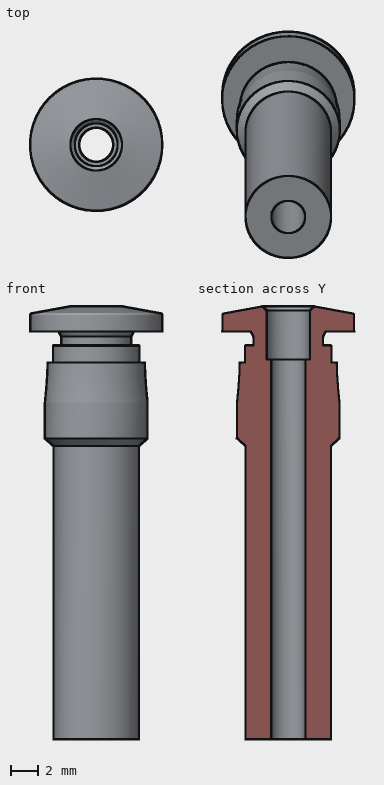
import cadquery as cq

total_height = 32.0
rim_top = 31.5
head_bottom = 30.1
collar_top = 29.12
sleeve_top = 27.85
taper_bottom = 24.85
sleeve_straight_bottom = 22.25
sleeve_bottom = 21.65

head_radius = 9.8 / 2
neck_radius = 5.2 / 2
collar_radius = 6.4 / 2
sleeve_radius = 7.6 / 2
sleeve_top_radius = 7.2 / 2
stem_radius = 6.35 / 2

rim_round = 0.2
neck_flare_width = 0.2
neck_flare_height = 0.35
collar_chamfer = 0.05
sleeve_hollow = 0.03

bore_radius = 2.5 / 2
counterbore_radius = 3.17 / 2
counterbore_depth = 3.95
mouth_chamfer = 0.32

counterbore_floor = total_height - counterbore_depth
mouth_radius = counterbore_radius + mouth_chamfer
taper_middle = (
    (sleeve_radius + sleeve_top_radius) / 2 - sleeve_hollow,
    (taper_bottom + sleeve_top) / 2,
)
rim_round_middle = (
    head_radius - rim_round * (1 - 0.5 ** 0.5),
    rim_top - rim_round * (1 - 0.5 ** 0.5),
)

half_section = (
    cq.Workplane("XZ")
    .moveTo(bore_radius, 0)
    .lineTo(stem_radius, 0)
    .lineTo(stem_radius, sleeve_bottom)
    .lineTo(sleeve_radius, sleeve_straight_bottom)
    .lineTo(sleeve_radius, taper_bottom)
    .threePointArc(taper_middle, (sleeve_top_radius, sleeve_top))
    .lineTo(collar_radius, sleeve_top)
    .lineTo(collar_radius, collar_top - collar_chamfer)
    .lineTo(collar_radius - collar_chamfer, collar_top)
    .lineTo(neck_radius, collar_top)
    .lineTo(neck_radius, head_bottom - neck_flare_height)
    .lineTo(neck_radius + neck_flare_width, head_bottom)
    .lineTo(head_radius, head_bottom)
    .lineTo(head_radius, rim_top - rim_round)
    .threePointArc(rim_round_middle, (head_radius - rim_round, rim_top))
    .lineTo(mouth_radius, total_height)
    .lineTo(counterbore_radius, total_height - mouth_chamfer)
    .lineTo(counterbore_radius, counterbore_floor)
    .lineTo(bore_radius, counterbore_floor)
    .close()
)

result = half_section.revolve(360, (0, 0, 0), (0, 1, 0))